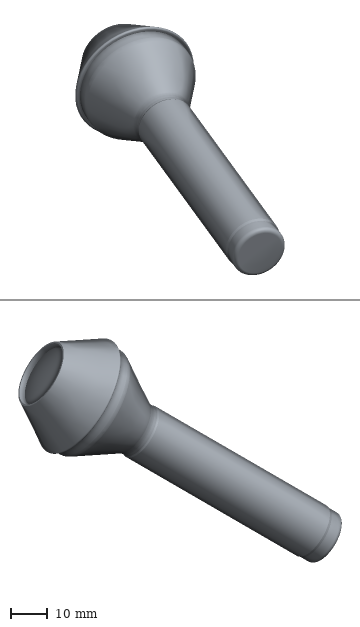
import cadquery as cq
import math

OVERALL_LENGTH = 100.0
CONE_SLOPE = math.tan(math.radians(30))

CAP_LENGTH = 14.0
CAP_MAX_RADIUS = 35.2 / 2
CAP_LIP_ROUND = 0.5
RECESS_MOUTH_RADIUS = 9.4
RECESS_FLOOR_RADIUS = 8.9
RECESS_DEPTH = 1.5

COLLAR_RADIUS = 32.9 / 2
NECK_RADIUS = 15.5 / 2
SHANK_RADIUS = 16.0 / 2
COLLAR_END_X = 17.7
NECK_END_X = 34.5
SHANK_START_X = 35.0
SHANK_END_X = 95.0
REDUCED_END_START_X = 95.8
COLLAR_ROUND = 2.5
NECK_FILLET = 3.0
END_ROUND = 1.2


def revolve_about_x(outline):
    """Turn a list of (x, radius) points into a solid of revolution."""
    return cq.Workplane("XY").polyline(outline).close().revolve(360, (0, 0, 0), (1, 0, 0))


def round_edge(body, x, radius, fillet_radius):
    """Round the circular edge of the given radius that lies at x."""
    margin = 0.01
    edge_zone = cq.selectors.BoxSelector(
        (x - margin, -radius - margin, -radius - margin),
        (x + margin, radius + margin, radius + margin),
        boundingbox=True,
    )
    return body.edges(edge_zone).fillet(fillet_radius)


def make_cap():
    """Cone with a rounded lip at its wide end and a shallow tapered recess in its tip."""
    lip_radius = CAP_MAX_RADIUS + CAP_LIP_ROUND * (math.sqrt(3) - 1)
    tip_radius = lip_radius - CAP_LENGTH * CONE_SLOPE
    outline = [
        (RECESS_DEPTH, 0),
        (RECESS_DEPTH, RECESS_FLOOR_RADIUS),
        (0, RECESS_MOUTH_RADIUS),
        (0, tip_radius),
        (CAP_LENGTH, lip_radius),
        (CAP_LENGTH, 0),
    ]
    return round_edge(revolve_about_x(outline), CAP_LENGTH, lip_radius, CAP_LIP_ROUND)


def make_stem():
    """Collar against the cap, tapering to a neck and a long shank with a rounded end."""
    cone_end_x = COLLAR_END_X + (COLLAR_RADIUS - NECK_RADIUS) / CONE_SLOPE
    outline = [
        (CAP_LENGTH, 0),
        (CAP_LENGTH, COLLAR_RADIUS),
        (COLLAR_END_X, COLLAR_RADIUS),
        (cone_end_x, NECK_RADIUS),
        (NECK_END_X, NECK_RADIUS),
        (SHANK_START_X, SHANK_RADIUS),
        (SHANK_END_X, SHANK_RADIUS),
        (REDUCED_END_START_X, NECK_RADIUS),
        (OVERALL_LENGTH, NECK_RADIUS),
        (OVERALL_LENGTH, 0),
    ]
    stem = revolve_about_x(outline)
    stem = round_edge(stem, COLLAR_END_X, COLLAR_RADIUS, COLLAR_ROUND)
    stem = round_edge(stem, cone_end_x, NECK_RADIUS, NECK_FILLET)
    return round_edge(stem, OVERALL_LENGTH, NECK_RADIUS, END_ROUND)


cap = make_cap()
stem = make_stem()
result = cq.Compound.makeCompound([cap.val(), stem.val()])